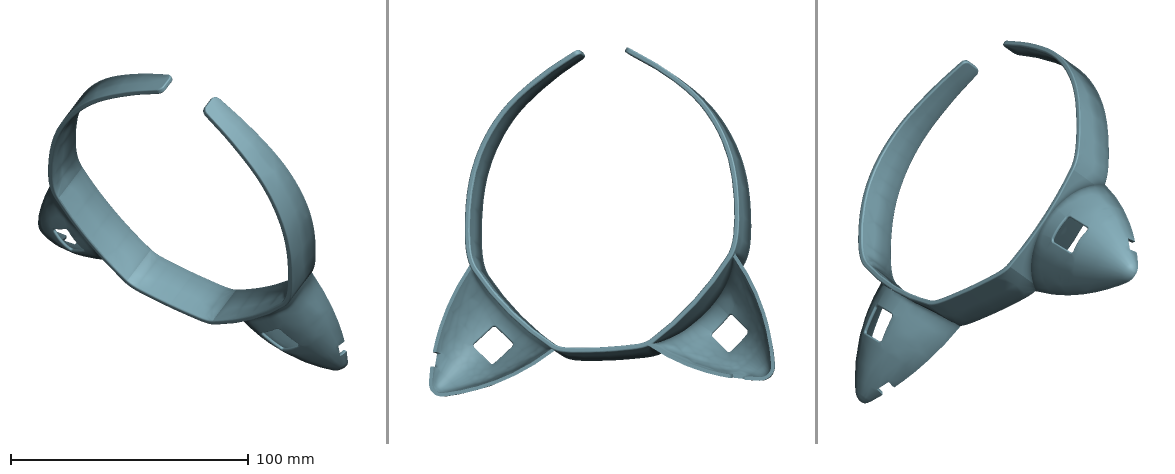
import cadquery as cq
import math


band_width = 20.0
band_thickness = 2.3
band_edge_fillet = 0.6

bottom_centre = (0, -59.9)
bottom_flat_end = (10.5, -59.5)
bottom_end = (22.2, -57.1)
cheek_middle = (37.7, -44.6)
cheek_end = (56.4, -22.3)
arm_points = [(59.9, -3.8), (56.8, 21.4), (51.3, 35.0), (43.5, 46.3), (34.5, 54.7), (23.8, 62.5)]
arm_tip = (10.4, 70.5)
inset_steps = 8

taper_start_z = -15.1
arm_tip_width = 9.6
arm_tip_corner_radius = 2.7

ear_reach = 75.4
ear_tip_radius = 6.0
ear_side_radius = 92.6
ear_side_taper = 41.6
ear_ridge_radius = 73.9
ear_ridge_taper = 36.0
ear_wall = 1.5
ear_root = 49.8
ear_section_count = 9
ear_turns = [0, 90]

window_size = 12.4
window_corner_radius = 2.5 / 2
window_distance = 73.0
window_edge_fillet = 0.6

slot_length = 6.2
slot_height = 3.6
slot_depth = 4.5
slot_middle = (73.1, -59.3)

diagonal = math.sqrt(2)
ear_tip_centre = (ear_reach - ear_tip_radius) * diagonal
window_middle = (window_distance / diagonal, -window_distance / diagonal)


def on_back(points):
    """Points given as (x, z), placed on the back plane."""
    return [cq.Vector(x, 0, z) for x, z in points]


def outer_curves():
    """Outer face of the right half: bottom, cheek and arm, each running tangent into the next."""
    cheek = cq.Edge.makeThreePointArc(*on_back([bottom_end, cheek_middle, cheek_end]))
    bottom = cq.Edge.makeSpline(
        on_back([bottom_centre, bottom_flat_end, bottom_end]),
        tangents=[cq.Vector(1, 0, 0), cheek.tangentAt(0)],
    )
    arm_path = on_back([cheek_end] + arm_points + [arm_tip])
    arm = cq.Edge.makeSpline(
        arm_path,
        tangents=[cheek.tangentAt(1), arm_path[-1] - arm_path[-2]],
    )
    return [bottom, cheek, arm]


def inset_curve(curve):
    """Curve that lies the band thickness inside an outer curve."""
    shares = [i / inset_steps for i in range(inset_steps + 1)]
    tangents = [curve.tangentAt(share) for share in shares]
    inward = [cq.Vector(-t.z, 0, t.x) for t in tangents]
    points = [curve.positionAt(share) + n * band_thickness for share, n in zip(shares, inward)]
    return cq.Edge.makeSpline(points, tangents=[tangents[0], tangents[-1]])


def forward_solid(edges):
    """Solid that fills a closed outline on the back plane and runs forward over the band width."""
    face = cq.Face.makeFromWires(cq.Wire.assembleEdges(edges))
    return cq.Workplane(cq.Solid.extrudeLinear(face, cq.Vector(0, -band_width, 0)))


def half_strip():
    """Right half of the band at full width, with its end square to the arm."""
    outer = outer_curves()
    inner = [inset_curve(curve) for curve in outer]
    tip_line = cq.Edge.makeLine(outer[-1].endPoint(), inner[-1].endPoint())
    centre_line = cq.Edge.makeLine(inner[0].startPoint(), outer[0].startPoint())
    return forward_solid(outer + [tip_line] + inner[::-1] + [centre_line])


def head_space():
    """Everything within the outer face of the right half of the band."""
    outer = outer_curves()
    base = outer[0].startPoint()
    tip = outer[-1].endPoint()
    apex = cq.Vector(0, 0, tip.z)
    return forward_solid(outer + [cq.Edge.makeLine(tip, apex), cq.Edge.makeLine(apex, base)])


def taper_envelope():
    """Side shape of the band: full width below, narrowing along an arc up to the arm tips."""
    base_z = bottom_centre[1]
    tip_z = arm_tip[1]
    return (
        cq.Workplane("YZ")
        .moveTo(0, base_z)
        .lineTo(-band_width, base_z)
        .lineTo(-band_width, taper_start_z)
        .tangentArcPoint((-arm_tip_width, tip_z), relative=False)
        .lineTo(0, tip_z)
        .close()
        .extrude(ear_reach)
    )


def round_long_edges(half):
    """Round the rim of the strip, but not the short joints across it or the edges on x = 0."""
    shortest = 1.2 * band_thickness
    rim = [
        edge
        for edge in half.edges("not |Y").vals()
        if edge.Length() > shortest and edge.Center().x > band_thickness
    ]
    return half.newObject(rim + half.faces(tip_face_selector()).edges("|Y").vals()).fillet(band_edge_fillet)


def tip_face_selector():
    return cq.selectors.ParallelDirSelector(outer_curves()[-1].tangentAt(1))


def make_band():
    half = half_strip().intersect(taper_envelope())
    half = half.faces(tip_face_selector()).edges("not |Y").fillet(arm_tip_corner_radius)
    half = round_long_edges(half)
    return half.union(half.mirror("YZ"))


def profile_height(distance, radius, taper, inset):
    """Height above the ear axis of an arc and the tip it runs into, both moved in by the inset."""
    tip_radius = ear_tip_radius - inset
    along = math.cos(math.radians(90 - taper))
    across = math.sin(math.radians(90 - taper))
    if distance >= ear_tip_centre + tip_radius * along:
        return math.sqrt(tip_radius**2 - (distance - ear_tip_centre) ** 2)
    spread = radius - ear_tip_radius
    arc_centre = ear_tip_centre - spread * along
    return math.sqrt((radius - inset) ** 2 - (distance - arc_centre) ** 2) - spread * across


def ear_plane(distance):
    """Plane square to the axis of the right ear, with its local y axis pointing forward."""
    origin = (distance / diagonal, 0, -distance / diagonal)
    return cq.Plane(origin=origin, xDir=(1, 0, 1), normal=(1, 0, -1))


def ear_dome(inset):
    """Solid lofted through arc sections that crowd together toward the round tip."""
    tip = ear_tip_centre + ear_tip_radius - inset
    sections = []
    for step in range(ear_section_count, 0, -1):
        distance = tip - (tip - ear_root) * (step / ear_section_count) ** 2
        side = profile_height(distance, ear_side_radius, ear_side_taper, inset)
        ridge = profile_height(distance, ear_ridge_radius, ear_ridge_taper, inset)
        section = (
            cq.Workplane(ear_plane(distance))
            .moveTo(-side, 0)
            .threePointArc((0, ridge), (side, 0))
            .close()
        )
        sections.append(section.val())
    tip_point = cq.Vertex.makeVertex(*ear_plane(tip).origin.toTuple())
    return cq.Workplane(cq.occ_impl.shapes.loft(*sections, tip_point, cap=True))


def window():
    return (
        cq.Workplane("XZ")
        .center(*window_middle)
        .transformed(rotate=(0, 0, 45))
        .rect(window_size, window_size)
        .extrude(band_width)
        .edges("|Y")
        .fillet(window_corner_radius)
    )


def round_window_edges(ear):
    """Round both mouths of the window."""
    reach = 0.75 * window_size
    x, z = window_middle
    around_window = cq.selectors.BoxSelector(
        (x - reach, -band_width, z - reach),
        (x + reach, -ear_wall, z + reach),
    )
    return ear.edges(around_window).edges("not |Y").fillet(window_edge_fillet)


def slot():
    return (
        cq.Workplane("XZ")
        .center(*slot_middle)
        .rect(slot_depth, slot_length)
        .extrude(slot_height)
    )


def make_ear():
    """Right ear: an open-backed dome that ends on the outer face of the band."""
    shell = ear_dome(0).cut(ear_dome(ear_wall)).cut(window())
    return round_window_edges(shell).cut(slot()).cut(head_space())


band = make_band()
ear = make_ear()
ears = [ear.rotate((0, 0, 0), (0, 1, 0), turn) for turn in ear_turns]

result = cq.Compound.makeCompound([band.val(), *[turned.val() for turned in ears]])